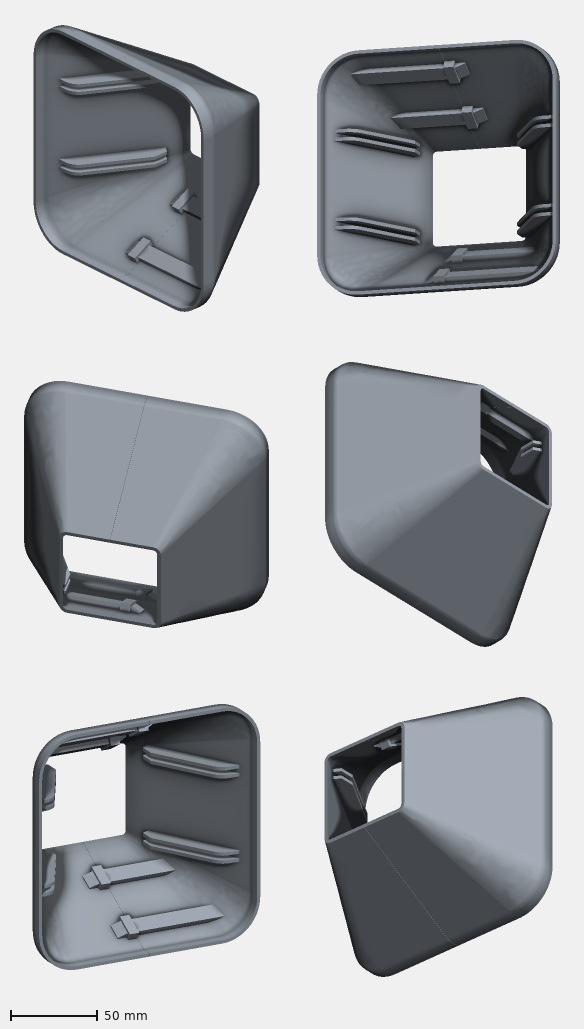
import cadquery as cq
import math


depth = 83.0
split_gap = 0.1
rim_width = 145.0
rim_half = rim_width / 2
mouth_half = 30.5
rim_length = 8.0
rim_corner_radius = 25.0
mouth_corner_radius = 4.8
wall = 2.0
outer_bend_radius = 5.0
inner_bend_radius = outer_bend_radius - wall
bend_tolerance = 0.1

wall_angle = math.atan((rim_half - mouth_half) / (depth - rim_length))
sin_wall = math.sin(wall_angle)
cos_wall = math.cos(wall_angle)
inner_rim_length = rim_length - wall * math.tan(wall_angle / 2)
inner_mouth_half = mouth_half - wall / cos_wall

bar_width = 10.0
bar_height = 3.5
bar_centers = (30.5, 70.5)
bar_tip_reach = 12.0
taper_start = 6.7
tip_height = 0.9
loop_width = 14.4
loop_height = 5.0
loop_length = 6.1

rail_thickness = 2.0
rail_spacing = 5.0
rail_pair_offset = 26.3
rail_front_x = 66.5
rail_back_x = 31.0
rail_height = 10.0
rail_nose_radius = 10.2
rail_relief_length = 9.9
rail_sink = wall / 2


def rounded_square(half, radius):
    """Sketch of a square with rounded corners, given its half width."""
    return cq.Sketch().rect(2 * half, 2 * half).vertices().fillet(radius)


def funnel_solid(rim, rim_radius, mouth, mouth_radius, bend_y, bend_radius):
    """Solid funnel: a straight band up to bend_y, then sloped walls, with the bend rounded."""
    rim_section = rounded_square(rim, rim_radius)
    mouth_section = rounded_square(mouth, mouth_radius).moved(cq.Location(cq.Vector(0, 0, depth - bend_y)))
    bend_plane = cq.Workplane("XZ", origin=(0, bend_y, 0))
    back_plane = cq.Workplane(cq.Plane(origin=(0, bend_y, 0), xDir=(1, 0, 0), normal=(0, 1, 0)))
    band = bend_plane.placeSketch(rim_section).extrude(bend_y)
    slope = back_plane.placeSketch(rim_section, mouth_section).loft(ruled=True)
    reach = 2 * rim
    bend_edges = cq.selectors.BoxSelector(
        (-reach, bend_y - bend_tolerance, -reach), (reach, bend_y + bend_tolerance, reach)
    )
    return band.union(slope).edges(bend_edges).fillet(bend_radius)


def wall_plane(distance):
    """Plane on the inside of the bottom wall: local Y runs up the slope, local Z points inward."""
    y = depth - distance * cos_wall
    z = -inner_mouth_half - distance * sin_wall
    return cq.Plane(origin=(0, y, z), xDir=(1, 0, 0), normal=(0, -sin_wall, cos_wall))


def bar_profile_plane(distance):
    """Workplane along the middle of a bar: local X as the part, local Y off the wall."""
    plane = wall_plane(distance)
    return cq.Workplane(cq.Plane(origin=plane.origin, xDir=plane.xDir, normal=-plane.yDir))


def latch_bar(distance):
    """Bar along the bottom wall; its tapered tip passes the split, its other end runs into the corner."""
    profile = [
        (-bar_tip_reach, 0),
        (-bar_tip_reach, tip_height),
        (-taper_start, bar_height),
        (rim_half, bar_height),
        (rim_half, 0),
    ]
    return bar_profile_plane(distance).polyline(profile).close().extrude(bar_width / 2, both=True)


def latch_loop(distance):
    """Loop on the top wall with a passage along X for the other half's bar.

    It is shaped on the bottom wall at -X, then turned half round about Y.
    """
    face = cq.Workplane(wall_plane(distance)).center(-split_gap / 2 - loop_length / 2, 0)
    block = face.rect(loop_length, loop_width).extrude(loop_height)
    passage = face.rect(loop_length, bar_width).extrude(bar_height)
    return block.cut(passage).rotate((0, 0, 0), (0, 1, 0), 180)


def wall_x(y):
    """X of the inside of the +X wall at a given Y."""
    return inner_mouth_half + (depth - y) * math.tan(wall_angle)


def wall_y(x):
    """Y of the inside of the +X wall at a given X."""
    return depth - (x - inner_mouth_half) / math.tan(wall_angle)


def guide_rail(z):
    """Flat rail on the +X wall with a rounded front corner and a relieved back corner."""
    front_y = wall_y(rail_front_x)
    edge_inset = rail_height / cos_wall
    nose_turn = math.pi / 2 - wall_angle
    nose_rise = rail_nose_radius * (1 - math.cos(nose_turn))
    nose_end = (wall_x(front_y + nose_rise) - edge_inset, front_y + nose_rise)
    nose_start = (nose_end[0] + rail_nose_radius * math.sin(nose_turn), front_y)
    nose_middle = (
        nose_start[0] - rail_nose_radius * math.sin(nose_turn / 2),
        front_y + rail_nose_radius * (1 - math.cos(nose_turn / 2)),
    )
    relief_start = (rail_back_x, wall_y(rail_back_x + edge_inset))
    relief_end = (rail_back_x, relief_start[1] + rail_relief_length)
    back_drop = (wall_x(relief_end[1]) - rail_back_x) * cos_wall + rail_sink
    back_foot = (rail_back_x + back_drop * cos_wall, relief_end[1] + back_drop * sin_wall)
    front_foot = (rail_front_x + rail_sink / cos_wall, front_y)
    return (
        cq.Workplane("XY", origin=(0, 0, z - rail_thickness / 2))
        .moveTo(*front_foot)
        .lineTo(*nose_start)
        .threePointArc(nose_middle, nose_end)
        .lineTo(*relief_start)
        .lineTo(*relief_end)
        .lineTo(*back_foot)
        .close()
        .extrude(rail_thickness)
    )


outer_funnel = funnel_solid(
    rim_half, rim_corner_radius, mouth_half, mouth_corner_radius, rim_length, outer_bend_radius
)
cavity = funnel_solid(
    rim_half - wall,
    rim_corner_radius - wall,
    inner_mouth_half,
    mouth_corner_radius - wall / cos_wall,
    inner_rim_length,
    inner_bend_radius,
)
half_space = cq.Workplane("XY").box(rim_half, depth, rim_width, centered=(False, False, True))


def funnel_half():
    """One solid half at +X: shell, two bars at the bottom, two loops at the top and four rails."""
    half = outer_funnel.cut(cavity).intersect(half_space).translate((split_gap / 2, 0, 0))
    for distance in bar_centers:
        half = half.union(latch_bar(distance).intersect(outer_funnel))
        half = half.union(latch_loop(distance))
    for pair_side in (-1, 1):
        for rail_side in (-1, 1):
            half = half.union(guide_rail(pair_side * rail_pair_offset + rail_side * rail_spacing / 2))
    return half


half_turns = (0, 180)
halves = [funnel_half().rotate((0, 0, 0), (0, 1, 0), turn) for turn in half_turns]

result = cq.Compound.makeCompound([half.solids().val() for half in halves])